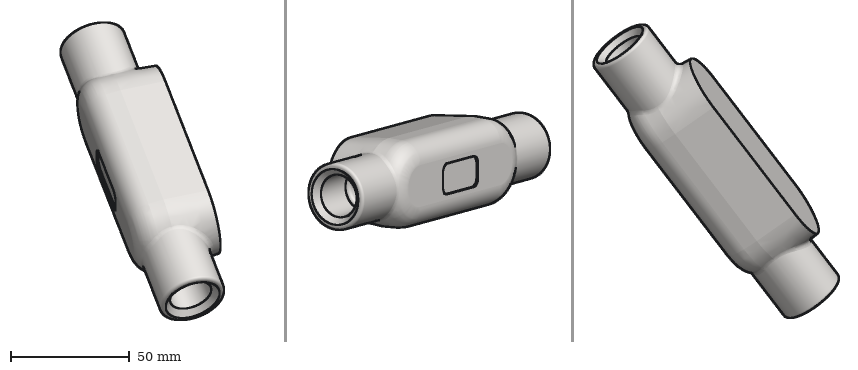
import cadquery as cq
import math

overall_length = 140.4
body_height = 37.8
arc_center_spacing = 59.5
back_depth = 19.8
front_depth = 16.0
back_draft_angle = 5.0
front_draft_angle = 2.0
front_edge_radius = 9.7

hub_diameter = 28.6
hub_edge_radius = 1.4
hub_root_radius = 2.5

mouth_diameter = 23.9
socket_diameter = 18.2
bushing_diameter = 14.5
socket_depth = 21.0

panel_length = 26.0
panel_height = 13.2
panel_corner_radius = 3.2
panel_depth = 0.8


def body_outline():
    """Rounded-end outline of the body on the parting plane, facing -Y."""
    return cq.Workplane("XZ").slot2D(arc_center_spacing + body_height, body_height)


def make_body():
    """Body drafted both ways from the parting plane, with a well-rounded front edge."""
    front = body_outline().extrude(front_depth, taper=front_draft_angle)
    front = front.faces("<Y").edges().fillet(front_edge_radius)
    back = body_outline().extrude(-back_depth, taper=back_draft_angle)
    return front.union(back)


def make_hubs():
    return cq.Workplane("YZ").circle(hub_diameter / 2).extrude(overall_length / 2, both=True)


def add_hubs(body):
    """Join the hubs to the body, blend their roots and round their outer rims."""
    joined = body.union(make_hubs())
    joined = joined.edges("%BSPLINE").fillet(hub_root_radius)
    return joined.faces("<X or >X").edges().fillet(hub_edge_radius)


def make_passage():
    """Solid of revolution about X: chamfered mouths, sockets, and rounded bushings between."""
    mouth_radius = mouth_diameter / 2
    socket_radius = socket_diameter / 2
    bushing_radius = bushing_diameter / 2
    hub_end = overall_length / 2
    chamfer_start = hub_end - (mouth_radius - socket_radius)
    shoulder = hub_end - socket_depth
    lip_radius = socket_radius - bushing_radius
    arc_inset = lip_radius * (1 - math.sqrt(0.5))
    profile = (
        cq.Workplane("XY")
        .lineTo(hub_end, 0)
        .lineTo(hub_end, mouth_radius)
        .lineTo(chamfer_start, socket_radius)
        .lineTo(shoulder, socket_radius)
        .threePointArc(
            (shoulder - arc_inset, bushing_radius + arc_inset),
            (shoulder - lip_radius, bushing_radius),
        )
        .lineTo(0, bushing_radius)
        .close()
    )
    half = profile.revolve(360, (0, 0, 0), (1, 0, 0))
    return half.union(half.mirror("YZ"))


def make_name_panel():
    front_face = cq.Workplane("XZ", origin=(0, -front_depth, 0))
    panel = front_face.rect(panel_length, panel_height).extrude(-panel_depth)
    return panel.edges("|Y").fillet(panel_corner_radius)


result = add_hubs(make_body()).cut(make_passage()).cut(make_name_panel())